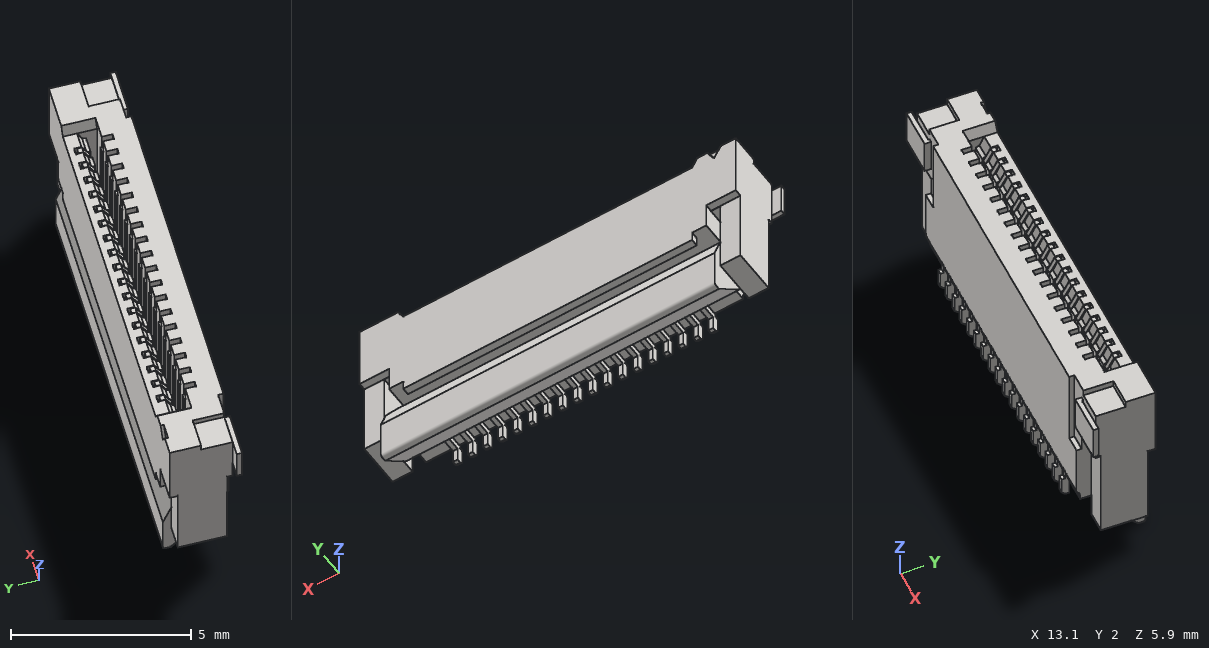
import cadquery as cq
import math


HOUSING_FRONT = 0.04
HOUSING_BACK = 2.0
HOUSING_HALF_WIDTH = 6.26
CORE_HALF_WIDTH = 5.28
CORE_BOTTOM = -4.49
CORE_FOOT_BACK = 0.85
BACK_WALL_BOTTOM = -3.47
BACK_WALL_HALF_WIDTH = 4.81
BACK_WALL_END_BOTTOM = -3.16
CHAMFER_TOP = -4.14
CHAMFER_HEIGHT = 0.2
CHAMFER_ANGLE = 30
CHAMFER_DEPTH = CHAMFER_HEIGHT * math.tan(math.radians(CHAMFER_ANGLE))

ARM_INNER = 5.6
ARM_FRONT = 0.35
ARM_BACK = 1.77
ARM_FRONT_STEP = -1.89
ARM_BACK_STEP = -2.28
ARM_BOTTOM = -4.89
SLOT_TOP = -2.29

RECESS_INNER = 4.77
RECESS_FLOOR = 0.2
RECESS_BOTTOM = -2.48
CORNER_NOTCH_INNER = 5.4
CORNER_NOTCH_BACK = 1.1
CORNER_NOTCH_DEPTH = 0.2

TAB_OUTER = 6.55
TAB_THICKNESS = 0.16
TAB_TOP = -0.39
TAB_BOTTOM = -1.49
TAB_STEM_WIDTH = 0.12

MOUTH_TOP_HALF_WIDTH = 4.98
MOUTH_HALF_WIDTH = 4.81
MOUTH_FRONT = 1.02
MOUTH_DEPTH = 0.3
LEAD_IN_BACK = 1.6
LEAD_IN_MID = 1.45
LEAD_IN_MID_DEPTH = 0.6
CABLE_BACK = 1.34
LEAD_IN_DEPTH = 0.65
CABLE_DEPTH = 2.62

MARK_X = -5.54
MARK_HALF_WIDTH = 0.22
MARK_HEIGHT = MARK_HALF_WIDTH * math.sqrt(3)
MARK_DEPTH = 0.09

CONTACT_COUNT = 18
CONTACT_ROW_LENGTH = 8.5
CONTACT_PITCH = CONTACT_ROW_LENGTH / (CONTACT_COUNT - 1)
CONTACT_WIDTH = 0.16
REAR_SLOT_WIDTH = 0.2
REAR_SLOT_BACK = 1.81
REAR_SLOT_TAPER = 0.08
REAR_SLOT_BOTTOM = -1.57
REAR_TIP_BACK = 1.73
REAR_TIP_EDGE = 1.59
REAR_TIP_FRONT = 1.36
REAR_TIP_TOP = -0.31
REAR_TIP_DROP = 0.4
REAR_TIP_ROOT = -1.7
FRONT_SLOT_FRONT = 0.71
FRONT_TIP_STEP = 0.86
FRONT_TIP_BACK = 1.06
FRONT_TIP_TOP = -0.52
FRONT_TIP_STEP_HEIGHT = 0.13
LEG_FRONT = 0.1
LEG_TOP = -4.06
FOOT_TOP = -4.57
FOOT_BACK = 0.24
FOOT_BOTTOM = -5.2
FOOT_CHAMFER = 0.1
LEG_BOTTOM = -4.73
LEG_BACK = 0.79

LEVER_HALF_WIDTH = 5.55
LEVER_FRONT = 0.73
LEVER_TOP = -3.04
LEVER_SHOULDER = -3.51
LEVER_FRONT_BOTTOM = -4.85
LEVER_BOTTOM = -5.9
LEVER_WAIST_TOP = -3.92
LEVER_HEEL_TOP = -4.55
LEVER_TIP_RADIUS = 0.08


def box(x, y, z):
    """Box spanning the (low, high) pair given for each axis."""
    size = [high - low for low, high in (x, y, z)]
    return cq.Workplane("XY").box(*size, centered=False).translate((x[0], y[0], z[0]))


def prism(yz_points, x_low, x_high):
    """Side outline in Y and Z, extruded along X."""
    outline = cq.Workplane("YZ").workplane(offset=x_low).polyline(yz_points).close()
    return outline.extrude(x_high - x_low)


def mirrored_pair(shape):
    """Shape together with its mirror image on the other end of the part."""
    return shape.union(shape.mirror("YZ"))


def contact_positions():
    first = -CONTACT_ROW_LENGTH / 2
    return [first + index * CONTACT_PITCH for index in range(CONTACT_COUNT)]


def make_core():
    chamfer_bottom = CHAMFER_TOP - CHAMFER_HEIGHT
    lower_front = HOUSING_FRONT + CHAMFER_DEPTH
    side_outline = [
        (HOUSING_FRONT, 0),
        (HOUSING_FRONT, CHAMFER_TOP),
        (lower_front, chamfer_bottom),
        (lower_front, CORE_BOTTOM),
        (CORE_FOOT_BACK, CORE_BOTTOM),
        (CORE_FOOT_BACK, BACK_WALL_END_BOTTOM),
        (HOUSING_BACK, BACK_WALL_END_BOTTOM),
        (HOUSING_BACK, 0),
    ]
    core = prism(side_outline, -CORE_HALF_WIDTH, CORE_HALF_WIDTH)
    back_lip = box(
        (-BACK_WALL_HALF_WIDTH, BACK_WALL_HALF_WIDTH),
        (ARM_BACK, HOUSING_BACK),
        (BACK_WALL_BOTTOM, BACK_WALL_END_BOTTOM),
    )
    return core.union(back_lip)


def make_arm():
    side_outline = [
        (RECESS_FLOOR, 0),
        (RECESS_FLOOR, ARM_FRONT_STEP),
        (ARM_FRONT, ARM_FRONT_STEP),
        (ARM_FRONT, ARM_BOTTOM),
        (ARM_BACK, ARM_BOTTOM),
        (ARM_BACK, ARM_BACK_STEP),
        (HOUSING_BACK, ARM_BACK_STEP),
        (HOUSING_BACK, 0),
    ]
    arm = prism(side_outline, -HOUSING_HALF_WIDTH, -CORE_HALF_WIDTH)
    slot = box((-ARM_INNER, -CORE_HALF_WIDTH), (0, HOUSING_BACK), (ARM_BOTTOM, SLOT_TOP))
    corner_notch = box(
        (-HOUSING_HALF_WIDTH, -CORNER_NOTCH_INNER),
        (0, CORNER_NOTCH_BACK),
        (-CORNER_NOTCH_DEPTH, 0),
    )
    return arm.cut(slot).cut(corner_notch)


def make_tab():
    plate = box((-TAB_OUTER, -CORE_HALF_WIDTH), (0, TAB_THICKNESS), (TAB_BOTTOM, TAB_TOP))
    stem = box(
        (-CORE_HALF_WIDTH - TAB_STEM_WIDTH, -CORE_HALF_WIDTH),
        (0, RECESS_FLOOR),
        (TAB_BOTTOM, TAB_TOP),
    )
    return plate.union(stem)


def make_mouth():
    """Open-backed pocket with slanted ends, narrowing into the cable slot."""
    front_outline = [
        (-MOUTH_TOP_HALF_WIDTH, 0),
        (MOUTH_TOP_HALF_WIDTH, 0),
        (MOUTH_HALF_WIDTH, -MOUTH_DEPTH),
        (-MOUTH_HALF_WIDTH, -MOUTH_DEPTH),
    ]
    pocket = (
        cq.Workplane("XZ", origin=(0, HOUSING_BACK, 0))
        .polyline(front_outline)
        .close()
        .extrude(HOUSING_BACK - MOUTH_FRONT)
    )
    slot_outline = [
        (MOUTH_FRONT, -MOUTH_DEPTH),
        (LEAD_IN_BACK, -MOUTH_DEPTH),
        (LEAD_IN_MID, -LEAD_IN_MID_DEPTH),
        (CABLE_BACK, -LEAD_IN_DEPTH),
        (CABLE_BACK, -CABLE_DEPTH),
        (MOUTH_FRONT, -CABLE_DEPTH),
    ]
    return pocket.union(prism(slot_outline, -MOUTH_HALF_WIDTH, MOUTH_HALF_WIDTH))


def make_pin_one_mark():
    """V-shaped notch in the top edge of the back face."""
    outline = [
        (MARK_X - MARK_HALF_WIDTH, 0),
        (MARK_X + MARK_HALF_WIDTH, 0),
        (MARK_X, -MARK_HEIGHT),
    ]
    back_plane = cq.Workplane("XZ", origin=(0, HOUSING_BACK, 0))
    return back_plane.polyline(outline).close().extrude(MARK_DEPTH)


def make_contact_slots(x):
    rear_outline = [
        (MOUTH_FRONT, -MOUTH_DEPTH),
        (REAR_SLOT_BACK, -MOUTH_DEPTH),
        (REAR_SLOT_BACK - REAR_SLOT_TAPER, REAR_SLOT_BOTTOM),
        (MOUTH_FRONT, REAR_SLOT_BOTTOM),
    ]
    rear = prism(rear_outline, x - REAR_SLOT_WIDTH / 2, x + REAR_SLOT_WIDTH / 2)
    front = box(
        (x - CONTACT_WIDTH / 2, x + CONTACT_WIDTH / 2),
        (FRONT_SLOT_FRONT, MOUTH_FRONT),
        (-CABLE_DEPTH, 0),
    )
    return rear.union(front)


def make_contact(x):
    rear_tip = [
        (REAR_TIP_BACK, REAR_TIP_TOP),
        (REAR_TIP_EDGE, REAR_TIP_TOP),
        (REAR_TIP_FRONT, REAR_TIP_TOP - REAR_TIP_DROP),
        (REAR_TIP_FRONT, REAR_TIP_ROOT),
        (REAR_TIP_BACK, REAR_TIP_ROOT),
    ]
    step_top = FRONT_TIP_TOP - FRONT_TIP_STEP_HEIGHT
    front_tip = [
        (FRONT_SLOT_FRONT, -CABLE_DEPTH),
        (FRONT_SLOT_FRONT, step_top),
        (FRONT_TIP_STEP, step_top),
        (FRONT_TIP_STEP, FRONT_TIP_TOP),
        (FRONT_TIP_BACK, FRONT_TIP_TOP),
        (FRONT_TIP_BACK, -CABLE_DEPTH),
    ]
    leg = [
        (LEG_FRONT, LEG_TOP),
        (LEG_FRONT, FOOT_TOP),
        (0, FOOT_TOP),
        (0, FOOT_BOTTOM + FOOT_CHAMFER),
        (FOOT_CHAMFER, FOOT_BOTTOM),
        (FOOT_BACK, FOOT_BOTTOM),
        (FOOT_BACK, LEG_BOTTOM),
        (LEG_BACK, LEG_BOTTOM),
        (LEG_BACK, LEG_TOP),
    ]
    low = x - CONTACT_WIDTH / 2
    high = x + CONTACT_WIDTH / 2
    return [prism(outline, low, high) for outline in (rear_tip, front_tip, leg)]


def make_lever():
    top_y = LEVER_FRONT + LEVER_TOP - LEVER_SHOULDER
    tip_y = LEVER_FRONT + LEVER_FRONT_BOTTOM - LEVER_BOTTOM
    side_outline = [
        (LEVER_FRONT, LEVER_FRONT_BOTTOM),
        (LEVER_FRONT, LEVER_SHOULDER),
        (top_y, LEVER_TOP),
        (ARM_BACK, LEVER_WAIST_TOP),
        (HOUSING_BACK, LEVER_HEEL_TOP),
        (HOUSING_BACK, LEVER_BOTTOM),
        (tip_y, LEVER_BOTTOM),
    ]
    lever = prism(side_outline, -LEVER_HALF_WIDTH, LEVER_HALF_WIDTH)
    return lever.edges("|X and <Z").edges(">Y").fillet(LEVER_TIP_RADIUS)


tab_recess = box(
    (-CORE_HALF_WIDTH, -RECESS_INNER),
    (0, RECESS_FLOOR),
    (RECESS_BOTTOM, 0),
)
housing = make_core().cut(mirrored_pair(tab_recess)).union(mirrored_pair(make_arm()))
housing = housing.cut(make_mouth()).cut(make_pin_one_mark())
for contact_x in contact_positions():
    housing = housing.cut(make_contact_slots(contact_x))

result = housing.union(make_lever()).union(mirrored_pair(make_tab()))
for contact_x in contact_positions():
    for contact_piece in make_contact(contact_x):
        result = result.union(contact_piece)